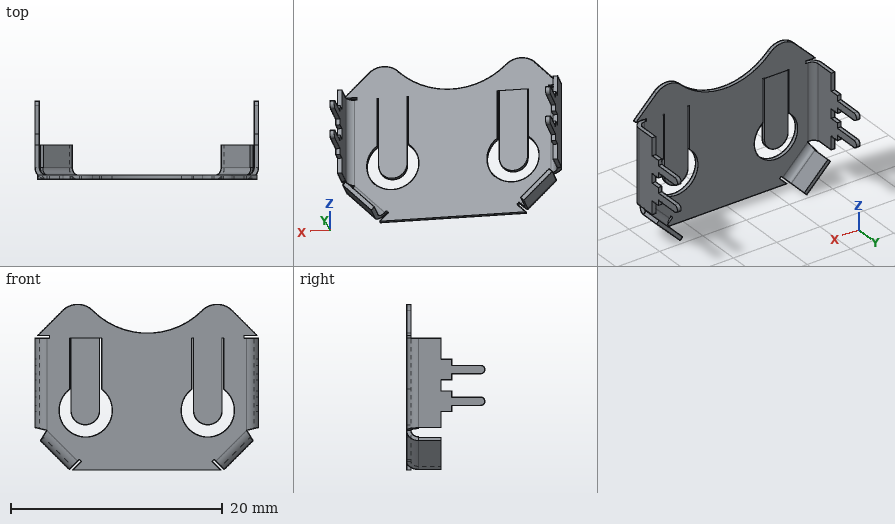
import cadquery as cq
import math


width = 21.1
height = 15.65
thickness = 0.42
bend_radius = 1.12
fold_x = width / 2 - bend_radius
slit_width = 0.25
slit_depth = 0.23
half_root = math.sqrt(0.5)

tab_depth = 3.25
corner_z = 3.75
tab_top_z = 12.45
upright_length = tab_top_z - corner_z
diagonal_length = 4.11
end_slant = 0.25

pins_per_tab = 2
pin_pitch = 3.0
lower_pin_z = 6.5
shoulder_width = 1.96
shoulder_depth = 4.26
pin_width = 0.8
pin_depth = 7.38

crown_shift = 0.06
hump_radius = 1.98
hollow_radius = 7.32
hump_x = (hump_radius + hollow_radius) * half_root
hump_start_x = hump_x + hump_radius * half_root
hump_end_z = height - hump_radius * (1 - half_root)
hollow_z = hump_end_z - hollow_radius * (1 - half_root)
hollow_end_x = hollow_radius * half_root
wing_z = tab_top_z + slit_width
wing_tip_x = hump_start_x + hump_end_z - wing_z

keyhole_x = 5.75
keyhole_z = 5.63
keyhole_diameter = 5.0
slot_width = 3.0
tongue_width = 2.72
loose_tongue_shift = 0.05


def plate_half():
    """Left half of the flat plate below the crown, with its relief slits and keyhole."""
    fold_end_x = fold_x - diagonal_length * half_root
    fold_end_z = corner_z - diagonal_length * half_root
    slit_step = slit_depth * half_root
    slit_across = slit_width * half_root
    slit_inner_x = fold_end_x - slit_step - slit_across
    slit_inner_z = fold_end_z + slit_step - slit_across

    half = (
        cq.Workplane("XZ")
        .moveTo(0, 0)
        .lineTo(-slit_inner_x - slit_inner_z, 0)
        .lineTo(-slit_inner_x, slit_inner_z)
        .lineTo(-fold_end_x + slit_step, fold_end_z + slit_step)
        .lineTo(-fold_end_x, fold_end_z)
        .lineTo(-fold_x, corner_z)
        .lineTo(-fold_x, tab_top_z)
        .lineTo(-fold_x + slit_depth, tab_top_z)
        .lineTo(-fold_x + slit_depth, wing_z)
        .lineTo(0, wing_z)
        .close()
        .extrude(-thickness)
    )
    slot_height = tab_top_z - keyhole_z
    keyhole = (
        cq.Workplane("XZ")
        .center(-keyhole_x, keyhole_z)
        .circle(keyhole_diameter / 2)
        .extrude(-thickness)
        .union(
            cq.Workplane("XZ")
            .center(-keyhole_x, keyhole_z + slot_height / 2)
            .rect(slot_width, slot_height)
            .extrude(-thickness)
        )
    )
    return half.cut(keyhole)


def crown():
    """Upper part of the plate: two sloping wings, a hump on each, and the hollow between them."""
    return (
        cq.Workplane("XZ", origin=(crown_shift, 0, 0))
        .moveTo(-wing_tip_x, wing_z)
        .lineTo(-hump_start_x, hump_end_z)
        .threePointArc((-hump_x, height), (-hollow_end_x, hump_end_z))
        .threePointArc((0, hollow_z), (hollow_end_x, hump_end_z))
        .threePointArc((hump_x, height), (hump_start_x, hump_end_z))
        .lineTo(wing_tip_x, wing_z)
        .close()
        .extrude(-thickness)
    )


def bent_tab(length):
    """Tab whose fold runs up Z from the origin; it bends outward to -X, then back along +Y."""
    inner_radius = bend_radius - thickness
    end_outline = [
        (0, 0),
        (0, length),
        (-bend_radius, length),
        (-bend_radius, end_slant),
    ]
    bend = (
        cq.Workplane("XY")
        .circle(bend_radius)
        .circle(inner_radius)
        .extrude(length)
        .translate((0, bend_radius, 0))
        .intersect(
            cq.Workplane("XZ")
            .polyline(end_outline)
            .close()
            .extrude(-bend_radius)
        )
    )
    wall = cq.Workplane("XY").box(
        thickness, tab_depth - bend_radius, length - end_slant, centered=False
    ).translate((-bend_radius, bend_radius, end_slant))
    return bend.union(wall)


def solder_pin(z):
    """Round-ended pin with its shoulder, in line with the left upright tab."""
    shoulder = cq.Workplane("XY").box(
        thickness, shoulder_depth - tab_depth, shoulder_width, centered=(False, False, True)
    ).translate((-width / 2, tab_depth, z))
    pin_radius = pin_width / 2
    pin = (
        cq.Workplane("YZ", origin=(-width / 2, 0, z))
        .moveTo(shoulder_depth, -pin_radius)
        .lineTo(pin_depth - pin_radius, -pin_radius)
        .threePointArc((pin_depth, 0), (pin_depth - pin_radius, pin_radius))
        .lineTo(shoulder_depth, pin_radius)
        .close()
        .extrude(thickness)
    )
    return shoulder.union(pin)


def tongue(x):
    """Flat spring tongue with a round lower end, hanging from the top of a keyhole slot."""
    radius = tongue_width / 2
    return (
        cq.Workplane("XZ")
        .moveTo(x - radius, tab_top_z)
        .lineTo(x - radius, keyhole_z)
        .threePointArc((x, keyhole_z - radius), (x + radius, keyhole_z))
        .lineTo(x + radius, tab_top_z)
        .close()
        .extrude(-thickness)
    )


def clip_half():
    """Left half of the clip below the crown: plate, upright tab with its pins, and diagonal tab."""
    upright = bent_tab(upright_length).translate((-fold_x, 0, corner_z))
    diagonal = (
        bent_tab(diagonal_length)
        .mirror("XY")
        .rotate((0, 0, 0), (0, 1, 0), -45)
        .translate((-fold_x, 0, corner_z))
    )
    half = plate_half().union(upright).union(diagonal)
    for pin_number in range(pins_per_tab):
        half = half.union(solder_pin(lower_pin_z + pin_number * pin_pitch))
    return half


left_half = clip_half()
clip = left_half.union(left_half.mirror("YZ")).union(crown()).union(tongue(keyhole_x))

loose_tongue = tongue(-keyhole_x - loose_tongue_shift)

result = cq.Compound.makeCompound([clip.val(), loose_tongue.val()])